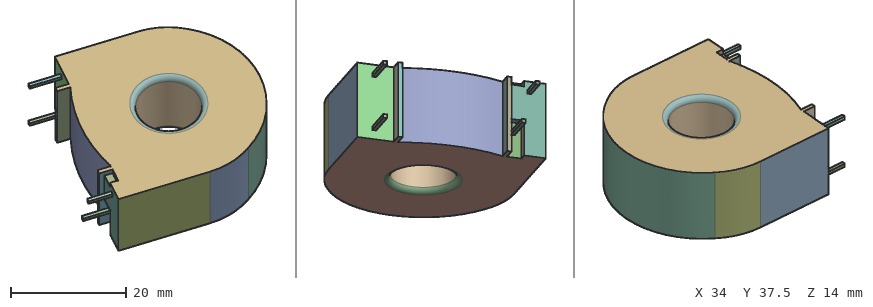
import cadquery as cq
import math

width = 34.0
height = 14.0
length = 37.5
back_y = 17.0
front_y = -14.5
pin_tip_y = back_y - length

side_end_y = 1.0
shoulder_x = 14.45
shoulder_y = 9.15

belly_y = -16.12
rib_x = 9.98
rib_thickness = 0.8
rib_tip_y = -17.0
rib_inner_x = rib_x - rib_thickness / 2
rib_outer_x = rib_x + rib_thickness / 2

hole_diameter = 11.5
rim_radius = 1.0

foot_y = -16.0
foot_inner_x = 13.0
web_bottom_z = 6.52
web_top_z = height - 1.0

pin_size = 0.68
pin_x = 13.95
upper_pin_z = height - 2.0
lower_pin_z = 2.0
notch_pin_x = 11.4
notch_pin_z = 4.5
pins = [
    (-pin_x, upper_pin_z, front_y),
    (-pin_x, lower_pin_z, front_y),
    (pin_x, upper_pin_z, foot_y),
    (notch_pin_x, notch_pin_z, front_y),
]


def front_block(x_min, x_max, z_min, z_max, tip_y, root_y=front_y, embed=0.38):
    """Box reaching forward to tip_y, with its root sunk into the housing."""
    size_y = root_y + embed - tip_y
    return cq.Workplane("XY").box(
        x_max - x_min, size_y, z_max - z_min, centered=False
    ).translate((x_min, tip_y, z_min))


def housing():
    """Round-backed body with a bulging front and a rounded through hole."""
    shoulder_rise = shoulder_y - side_end_y
    shoulder_inset = width / 2 - shoulder_x
    shoulder_radius = (shoulder_rise**2 + shoulder_inset**2) / (2 * shoulder_inset)
    half_sweep = math.asin(shoulder_rise / shoulder_radius) / 2
    mid_x = width / 2 - shoulder_radius * (1 - math.cos(half_sweep))
    mid_y = side_end_y + shoulder_radius * math.sin(half_sweep)
    body = (
        cq.Workplane("XY")
        .moveTo(-width / 2, front_y)
        .lineTo(-rib_inner_x, front_y)
        .threePointArc((0, belly_y), (rib_inner_x, front_y))
        .lineTo(width / 2, front_y)
        .lineTo(width / 2, side_end_y)
        .threePointArc((mid_x, mid_y), (shoulder_x, shoulder_y))
        .threePointArc((0, back_y), (-shoulder_x, shoulder_y))
        .threePointArc((-mid_x, mid_y), (-width / 2, side_end_y))
        .close()
        .extrude(height)
    )
    hole = cq.Workplane("XY").circle(hole_diameter / 2).extrude(height)
    rim_zone = cq.selectors.BoxSelector(
        (-hole_diameter, -hole_diameter, -0.38),
        (hole_diameter, hole_diameter, height + 0.38),
        boundingbox=True,
    )
    return body.cut(hole).edges("%CIRCLE").edges(rim_zone).fillet(rim_radius)


result = housing()

for centre_x in (-rib_x, rib_x):
    half = rib_thickness / 2
    result = result.union(front_block(centre_x - half, centre_x + half, 0, height, rib_tip_y))

result = result.union(front_block(foot_inner_x, width / 2, 0, height, foot_y))
result = result.union(front_block(rib_outer_x, foot_inner_x, web_bottom_z, web_top_z, foot_y))

for x, z, root_y in pins:
    half = pin_size / 2
    result = result.union(front_block(x - half, x + half, z - half, z + half, pin_tip_y, root_y))